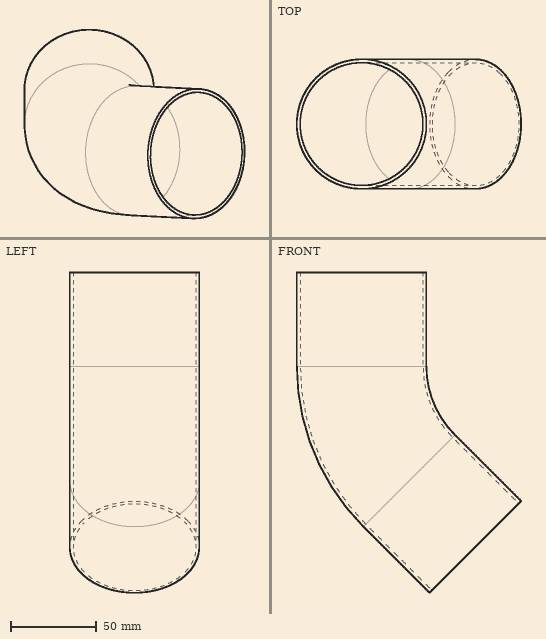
import cadquery as cq
import math

outer_diameter = 76.1
wall_thickness = 2.0
leg_length = 55.0
bend_angle = 45.0
overall_height = 188.0

outer_radius = outer_diameter / 2
inner_radius = outer_radius - wall_thickness
angle = math.radians(bend_angle)

outside_bend_radius = (overall_height - leg_length * (1 + math.cos(angle))) / math.sin(angle)
bend_radius = outside_bend_radius - outer_radius


def bend_point(turn):
    """Point (x, z) on the centreline arc after turning by the given angle."""
    return (bend_radius * (1 - math.cos(turn)), -bend_radius * math.sin(turn))


bend_end = bend_point(angle)
lower_end = (
    bend_end[0] + leg_length * math.sin(angle),
    bend_end[1] - leg_length * math.cos(angle),
)
centreline = (
    cq.Workplane("XZ")
    .moveTo(0, leg_length)
    .lineTo(0, 0)
    .threePointArc(bend_point(angle / 2), bend_end)
    .lineTo(*lower_end)
)

result = (
    cq.Workplane("XY", origin=(0, 0, leg_length))
    .circle(outer_radius)
    .circle(inner_radius)
    .sweep(centreline)
)